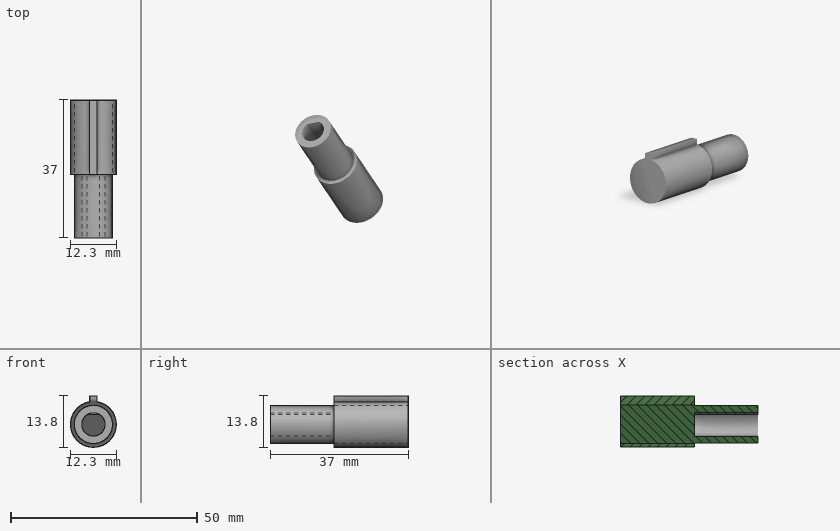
import cadquery as cq

TOTAL_LENGTH = 37.0
TOTAL_HEIGHT = 13.8

SLEEVE_DIAMETER = 12.3
SLEEVE_LENGTH = 20.0
SLEEVE_START = TOTAL_LENGTH - SLEEVE_LENGTH
KEY_WIDTH = 2.0
KEY_TOP = TOTAL_HEIGHT - SLEEVE_DIAMETER / 2

TUBE_DIAMETER = 10.25
BORE_DIAMETER = 6.25
BORE_DEPTH = SLEEVE_START

INSERT_THICKNESS = 0.5
FLAT_HEIGHT = BORE_DIAMETER / 2 - INSERT_THICKNESS


def cylinder(diameter, start, length):
    """Cylinder on the Y axis, from Y = start towards +Y."""
    return cq.Workplane("XZ", origin=(0, start, 0)).circle(diameter / 2).extrude(-length)


def block(width, start, length, bottom, height):
    """Block centred on X, from Y = start towards +Y and from Z = bottom upwards."""
    solid = cq.Workplane("XY").box(width, length, height, centered=(True, False, False))
    return solid.translate((0, start, bottom))


def make_sleeve():
    """Sleeve with a full-length key on top and a through hole for the tube."""
    barrel = cylinder(SLEEVE_DIAMETER, SLEEVE_START, SLEEVE_LENGTH)
    key = block(KEY_WIDTH, SLEEVE_START, SLEEVE_LENGTH, 0, KEY_TOP)
    tube_hole = cylinder(TUBE_DIAMETER, SLEEVE_START, SLEEVE_LENGTH)
    return barrel.union(key).cut(tube_hole)


def make_tube():
    """Round tube, closed at the rear."""
    bore = cylinder(BORE_DIAMETER, 0, BORE_DEPTH)
    return cylinder(TUBE_DIAMETER, 0, TOTAL_LENGTH).cut(bore)


def make_flat_insert():
    """Segment of the bore above the flat, along the full bore depth."""
    above_flat = block(BORE_DIAMETER, 0, BORE_DEPTH, FLAT_HEIGHT, INSERT_THICKNESS)
    return cylinder(BORE_DIAMETER, 0, BORE_DEPTH).intersect(above_flat)


sleeve = make_sleeve()
tube = make_tube()
flat_insert = make_flat_insert()

result = cq.Compound.makeCompound([sleeve.val(), tube.val(), flat_insert.val()])